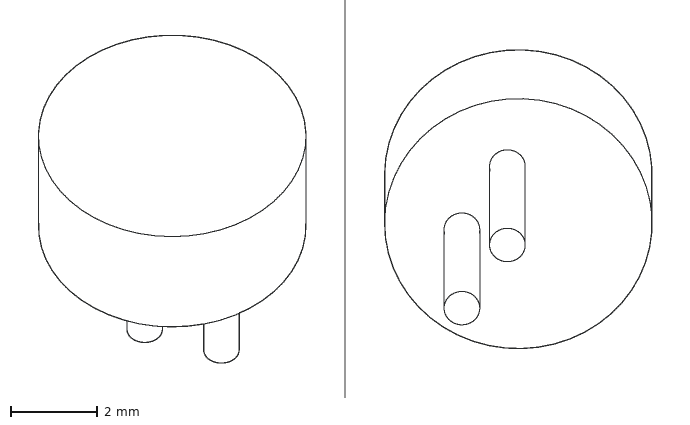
import cadquery as cq

total_height = 8.28
housing_diameter = 6.2
housing_height = 3.18

pin_diameter = 0.83
pin_length = total_height - housing_height
pin_spacing = 1.89
pin_row_center_x = -0.09
pin_row_y = 1.0


def make_housing():
    """Plain round housing standing on the plane Z = 0."""
    return cq.Workplane("XY").circle(housing_diameter / 2).extrude(housing_height)


def make_pin(x):
    """Straight round pin hanging from the underside of the housing."""
    return (
        cq.Workplane("XY")
        .center(x, pin_row_y)
        .circle(pin_diameter / 2)
        .extrude(-pin_length)
    )


housing = make_housing()
pins = [make_pin(pin_row_center_x + side * pin_spacing / 2) for side in (-1, 1)]

result = cq.Compound.makeCompound([housing.val(), *[pin.val() for pin in pins]])